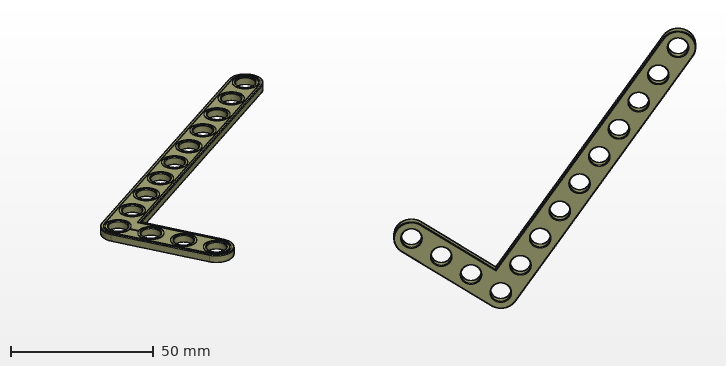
import cadquery as cq

pitch = 12.5
width = 12.5
thickness = 3.1
long_arm_holes = 10
short_arm_holes = 4
hole_diameter = 7.0
rim_width = 1.1
edge_chamfer = 0.3
recess_depth = 0.2
groove_width = 0.3
groove_depth = 0.1

collar_diameter = hole_diameter + 2 * rim_width
long_reach = (long_arm_holes - 1) * pitch
short_reach = (short_arm_holes - 1) * pitch
floor_z = thickness - recess_depth

hole_centres = [(0, i * pitch) for i in range(long_arm_holes)]
hole_centres += [(i * pitch, 0) for i in range(1, short_arm_holes)]


def angle_plate(plate_width, height):
    """L-shaped plate made of two round-ended arms that share the corner hole."""
    long_arm = (
        cq.Workplane("XY")
        .center(0, long_reach / 2)
        .slot2D(long_reach + plate_width, plate_width, 90)
        .extrude(height)
    )
    short_arm = (
        cq.Workplane("XY")
        .center(short_reach / 2, 0)
        .slot2D(short_reach + plate_width, plate_width)
        .extrude(height)
    )
    return long_arm.union(short_arm).clean()


def discs(diameter, height):
    """One cylinder on every hole centre."""
    return cq.Workplane("XY").pushPoints(hole_centres).circle(diameter / 2).extrude(height)


def recess():
    """Shallow pocket inside the rim, leaving a collar standing around each hole."""
    pocket = angle_plate(width - 2 * rim_width, recess_depth)
    return pocket.cut(discs(collar_diameter, recess_depth)).translate((0, 0, floor_z))


def floor_groove():
    """Fine groove in the floor, from the corner collar to the next one along X."""
    return (
        cq.Workplane("XY", origin=(pitch / 2, 0, floor_z))
        .rect(pitch - collar_diameter, groove_width)
        .extrude(-groove_depth)
    )


blank = angle_plate(width, thickness).cut(discs(hole_diameter, thickness))
plate = blank.faces("<Z or >Z").edges().chamfer(edge_chamfer)
result = plate.cut(recess()).cut(floor_groove())